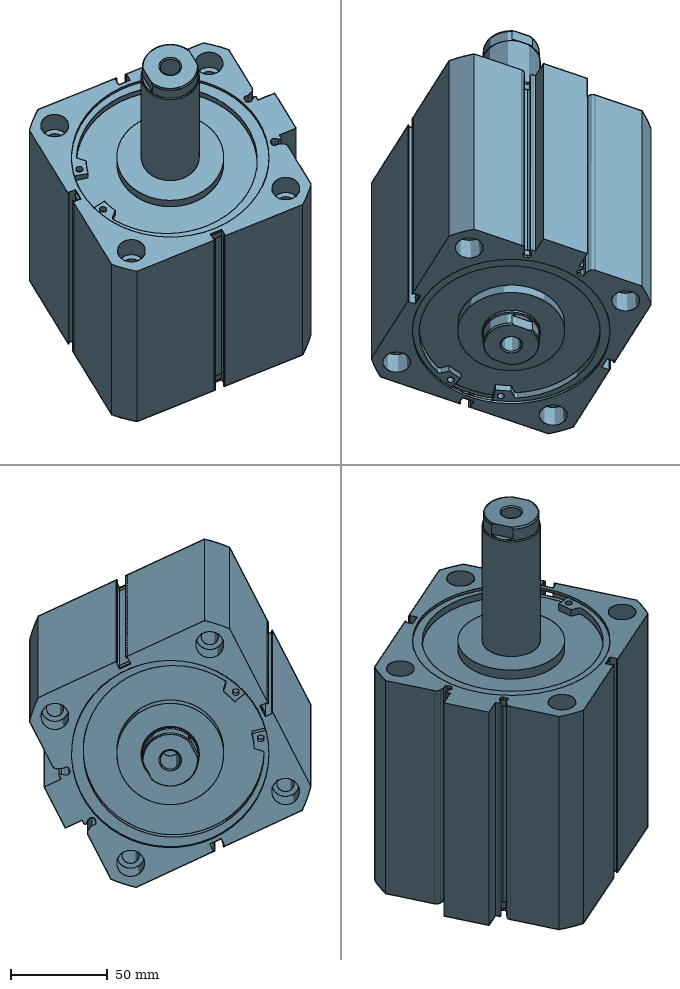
import cadquery as cq
import math


body_width = 115.0
half_width = body_width / 2
body_height = 132.5
corner_radius = 74.8
bore_radius = 51.0

rail_half_width = 12.5
rail_outer_offset = 9.0
rail_outer_y = half_width + rail_outer_offset

hook_top_y = 56.7
hook_tip_x = 15.1
hook_neck_x = 13.1
groove_floor_y = 50.7
groove_wall_x = 17.4
groove_mouth_x = 21.0

slot_mouth_width = 5.0
slot_inner_width = 6.5
slot_depth = 4.5
slot_lip = 0.5

bolt_offset = 44.5
bolt_radius = 4.5
counterbore_radius = 7.1
counterbore_depth = 13.4

groove_inset = 1.5
ring_thickness = 4.0
ring_outer_radius = 53.2
ring_inner_radius = 46.7
ring_eccentricity = 2.0
lug_inner_radius = 43.4
lug_end_angle = 13.0
lug_heel_angle = 23.7
lug_root_angle = 27.2
lug_root_fillet = 1.8
lug_hole_angle = 17.4
lug_hole_position_radius = 47.5
lug_hole_radius = 1.8
ring_turn = -1.0

cover_recess = groove_inset + ring_thickness
cover_face_z = body_height - cover_recess
cover_thickness = 22.2
boss_radius = 27.5

rod_top_extension = 79.9
rod_bottom_extension = 10.0
neck_radius = 14.5
neck_length = 8.0
shoulder_chamfer = 0.55
rod_radius = neck_radius + shoulder_chamfer
end_chamfer_length = 1.1
end_chamfer_depth = 0.5
flat_across = 26.5
rod_hole_radius = 5.1
rod_hole_chamfer = 0.7
rod_hole_depth = 22.2
drill_tip_angle = 118.0


def polar_from_minus_y(radius, angle):
    """Point at an angle from -Y, positive toward +X."""
    turn = math.radians(angle)
    return (radius * math.sin(turn), -radius * math.cos(turn))


def mirrored_x(point):
    return (-point[0], point[1])


def cylinder(radius, height, base_z=0.0):
    return cq.Workplane("XY").workplane(offset=base_z).circle(radius).extrude(height)


def mirrored_to_bottom(part):
    """Copy of a top-end part at the bottom end of the housing."""
    return part.mirror("XY", (0, 0, body_height / 2))



def housing_block():
    square = cq.Workplane("XY").rect(body_width, body_width).extrude(body_height)
    return square.intersect(cylinder(corner_radius, body_height))


def port_rail():
    inner_y = bore_radius
    return (
        cq.Workplane("XY")
        .center(0, (inner_y + rail_outer_y) / 2)
        .rect(2 * rail_half_width, rail_outer_y - inner_y)
        .extrude(body_height)
    )


def rail_groove():
    """Hooked groove on the +X side of the rail, open toward +Y."""
    return (
        cq.Workplane("XY")
        .moveTo(rail_half_width, half_width)
        .lineTo(rail_half_width, hook_top_y)
        .lineTo(hook_tip_x - 1.1, hook_top_y)
        .threePointArc((hook_tip_x, hook_top_y - 0.7), (hook_tip_x - 0.5, hook_top_y - 1.5))
        .lineTo(hook_neck_x + 0.5, groove_floor_y + 3.1)
        .threePointArc((hook_neck_x, groove_floor_y + 1.8), (hook_neck_x + 1.1, groove_floor_y))
        .lineTo(groove_wall_x - 1.1, groove_floor_y)
        .threePointArc((groove_wall_x - 0.5, groove_floor_y + 0.2), (groove_wall_x, groove_floor_y + 1.0))
        .lineTo(groove_wall_x, groove_floor_y + 2.7)
        .lineTo(groove_wall_x + 1.0, groove_floor_y + 5.0)
        .threePointArc((groove_wall_x + 1.8, half_width - 0.7), (groove_mouth_x, half_width))
        .close()
        .extrude(body_height)
    )


def sensor_slot():
    """T-slot in the -Y side, over the full height."""
    mouth = slot_mouth_width / 2
    inner = slot_inner_width / 2
    lip_y = slot_lip - half_width
    floor_y = slot_depth - half_width
    outline = [
        (-mouth, -half_width),
        (-mouth, lip_y),
        (-inner, lip_y),
        (-inner, floor_y),
        (inner, floor_y),
        (inner, lip_y),
        (mouth, lip_y),
        (mouth, -half_width),
    ]
    return cq.Workplane("XY").polyline(outline).close().extrude(body_height)


def bolt_holes():
    pattern = cq.Workplane("XY").rect(2 * bolt_offset, 2 * bolt_offset, forConstruction=True).vertices()
    counterbores = pattern.circle(counterbore_radius).extrude(counterbore_depth)
    holes = pattern.circle(bolt_radius).extrude(body_height)
    return holes.union(counterbores).union(mirrored_to_bottom(counterbores))


def ring_groove():
    return cylinder(ring_outer_radius, ring_thickness, cover_face_z)


def make_housing():
    housing = housing_block().union(port_rail())
    groove = rail_groove()
    housing = housing.cut(groove).cut(groove.mirror("YZ"))
    for side_angle in (-90, 0, 90):
        housing = housing.cut(sensor_slot().rotate((0, 0, 0), (0, 0, 1), side_angle))
    housing = housing.cut(bolt_holes())
    housing = housing.cut(cylinder(bore_radius, body_height))
    return housing.cut(ring_groove()).cut(mirrored_to_bottom(ring_groove()))



def make_cover():
    """Top cover: a disc in the bore with a central boss flush with the housing end."""
    disc = cylinder(bore_radius, cover_thickness, cover_face_z - cover_thickness)
    boss = cylinder(boss_radius, cover_recess, cover_face_z)
    return disc.union(boss).cut(cylinder(rod_radius, body_height))



def make_retaining_ring():
    """Top retaining ring, with its gap near -Y and a drilled lug at each end."""
    outer_end = polar_from_minus_y(ring_outer_radius, lug_end_angle)
    lug_end = polar_from_minus_y(lug_inner_radius, lug_end_angle)
    lug_middle = polar_from_minus_y(lug_inner_radius, (lug_end_angle + lug_heel_angle) / 2)
    lug_heel = polar_from_minus_y(lug_inner_radius, lug_heel_angle)
    root_x, root_y = polar_from_minus_y(ring_inner_radius, lug_root_angle)
    lug_root = (root_x, root_y - ring_eccentricity)
    ring = (
        cq.Workplane("XY")
        .workplane(offset=cover_face_z)
        .moveTo(*outer_end)
        .threePointArc((0, ring_outer_radius), mirrored_x(outer_end))
        .lineTo(*mirrored_x(lug_end))
        .threePointArc(mirrored_x(lug_middle), mirrored_x(lug_heel))
        .lineTo(*mirrored_x(lug_root))
        .threePointArc((0, ring_inner_radius - ring_eccentricity), lug_root)
        .lineTo(*lug_heel)
        .threePointArc(lug_middle, lug_end)
        .close()
        .extrude(ring_thickness)
    )
    for root in (lug_root, mirrored_x(lug_root)):
        root_edge = cq.selectors.NearestToPointSelector((*root, cover_face_z + ring_thickness / 2))
        ring = ring.edges("|Z").edges(root_edge).fillet(lug_root_fillet)
    lug_hole = polar_from_minus_y(lug_hole_position_radius, lug_hole_angle)
    holes = (
        cq.Workplane("XY")
        .pushPoints([lug_hole, mirrored_x(lug_hole)])
        .circle(lug_hole_radius)
        .extrude(body_height)
    )
    return ring.cut(holes).rotate((0, 0, 0), (0, 0, 1), ring_turn)



def rod_end_flats(end_z, inward):
    """Material removed for the two wrench flats, facing -Y and +Y; inward is +1 or -1 along Z.

    Each flat ends in a 45 degree ramp that meets the shoulder.
    """
    flat_y = flat_across / 2
    ramp = neck_radius - flat_y
    profile = [
        (flat_y, end_z),
        (neck_radius, end_z),
        (neck_radius, end_z + inward * neck_length),
        (flat_y, end_z + inward * (neck_length - ramp)),
    ]
    flat = cq.Workplane("YZ").polyline(profile).close().extrude(neck_radius, both=True)
    return flat.union(flat.mirror("XZ"))


def rod_end_hole(end_z, inward):
    """Chamfered blind hole with a drill tip, going inward from the rod end."""
    tip_length = rod_hole_radius / math.tan(math.radians(drill_tip_angle / 2))
    mouth_radius = rod_hole_radius + rod_hole_chamfer
    profile = [
        (0, end_z),
        (mouth_radius, end_z),
        (rod_hole_radius, end_z + inward * rod_hole_chamfer),
        (rod_hole_radius, end_z + inward * rod_hole_depth),
        (0, end_z + inward * (rod_hole_depth + tip_length)),
    ]
    return cq.Workplane("XZ").polyline(profile).close().revolve(360, (0, 0, 0), (0, 1, 0))


def rod_necks(bottom_z, top_z):
    """Core at the neck radius over the whole rod, with slender end chamfers."""
    end_radius = neck_radius - end_chamfer_depth
    profile = [
        (0, bottom_z),
        (end_radius, bottom_z),
        (neck_radius, bottom_z + end_chamfer_length),
        (neck_radius, top_z - end_chamfer_length),
        (end_radius, top_z),
        (0, top_z),
    ]
    return cq.Workplane("XZ").polyline(profile).close().revolve(360, (0, 0, 0), (0, 1, 0))


def make_rod():
    bottom_z = -rod_bottom_extension
    top_z = body_height + rod_top_extension
    shaft_bottom = bottom_z + neck_length
    shaft_length = top_z - neck_length - shaft_bottom
    shaft = cylinder(rod_radius, shaft_length, shaft_bottom).edges().chamfer(shoulder_chamfer)
    rod = shaft.union(rod_necks(bottom_z, top_z))
    for end_z, inward in ((bottom_z, 1), (top_z, -1)):
        rod = rod.cut(rod_end_flats(end_z, inward)).cut(rod_end_hole(end_z, inward))
    return rod



housing = make_housing()
rod = make_rod()
top_cover = make_cover()
top_ring = make_retaining_ring()
covers = [top_cover, mirrored_to_bottom(top_cover)]
rings = [top_ring, mirrored_to_bottom(top_ring)]

bodies = [housing, rod, *covers, *rings]
result = cq.Compound.makeCompound([body.solids().val() for body in bodies])